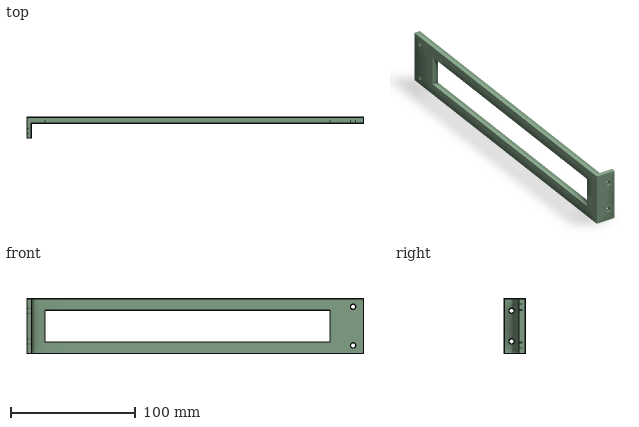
import cadquery as cq

length = 269.5
height = 44.0
plate_thickness = 5.0

total_depth = 17.0
flange_thickness = 3.5

window_left = 14.5
window_right = 242.5
window_height = 25.0

hole_diameter = 4.0
plate_hole_x = 261.1
plate_hole_spacing = 31.0
flange_hole_y = -11.0
flange_hole_spacing = 24.5


def box(x_range, y_range, z_height):
    """Block spanning the given X and Y ranges, centred on Z = 0."""
    x_min, x_max = x_range
    y_min, y_max = y_range
    block = cq.Workplane("XY").box(x_max - x_min, y_max - y_min, z_height, centered=(False, False, True))
    return block.translate((x_min, y_min, 0))


def hole_pair(plane, across, spacing, depth):
    """Two cylinders at +/- half the spacing in Z, running along the plane normal."""
    points = [(across, -spacing / 2), (across, spacing / 2)]
    return cq.Workplane(plane).pushPoints(points).circle(hole_diameter / 2).extrude(depth)


plate = box((0, length), (-plate_thickness, 0), height)
flange = box((0, flange_thickness), (-total_depth, 0), height)
window = box((window_left, window_right), (-plate_thickness, 0), window_height)

plate_holes = hole_pair("XZ", plate_hole_x, plate_hole_spacing, plate_thickness)
flange_holes = hole_pair("YZ", flange_hole_y, flange_hole_spacing, flange_thickness)

result = plate.union(flange).cut(window).cut(plate_holes).cut(flange_holes)